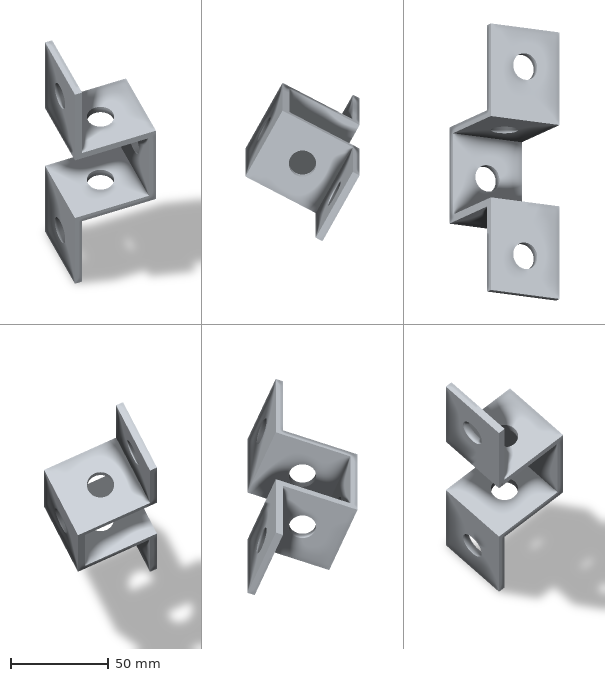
import cadquery as cq

width = 40.0
depth = 45.0
height = 141.0

thickness = 4.0
channel_opening = 43.0
hole_diameter = 14.0
flange_hole_offset = 50.0

half_opening = channel_opening / 2
channel_height = channel_opening + 2 * thickness


def plate(size_y, size_z, center_y, center_z):
    """Full-width plate centred on X."""
    return cq.Workplane("XY").box(width, size_y, size_z).translate((0, center_y, center_z))


def hole_along_y(center_z):
    """Cutter that crosses the whole depth at the given height."""
    return (
        cq.Workplane("XZ")
        .center(0, center_z)
        .circle(hole_diameter / 2)
        .extrude(depth, both=True)
    )


bracket = plate(thickness, channel_height, (depth - thickness) / 2, 0)

flange_length = height / 2 - half_opening
for side in (-1, 1):
    shelf = plate(depth, thickness, 0, side * (half_opening + thickness / 2))
    flange = plate(
        thickness,
        flange_length,
        (thickness - depth) / 2,
        side * (half_opening + flange_length / 2),
    )
    bracket = bracket.union(shelf).union(flange)

for hole_z in (-flange_hole_offset, 0, flange_hole_offset):
    bracket = bracket.cut(hole_along_y(hole_z))

shelf_bore = cq.Workplane("XY").circle(hole_diameter / 2).extrude(channel_height, both=True)

result = bracket.cut(shelf_bore)